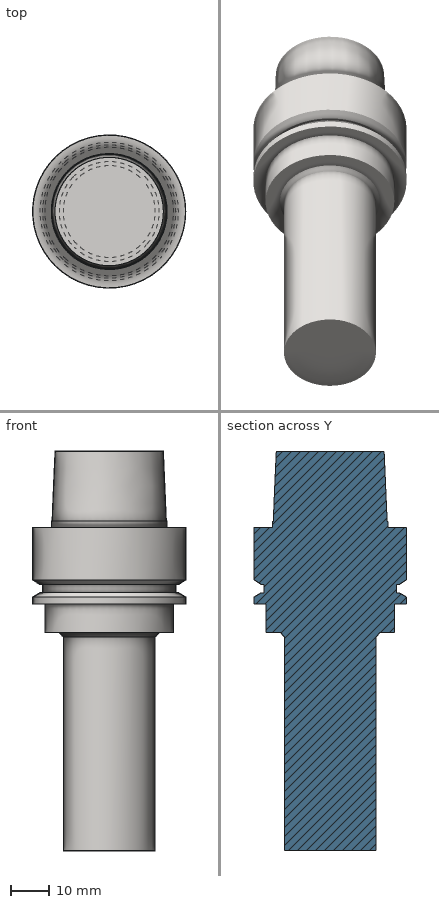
import cadquery as cq

total_length = 104.5
shank_diameter = 24.0
neck_diameter = 26.1
collar_diameter = 33.6
flange_diameter = 40.0
groove_diameter = 34.8
bevel_inner_diameter = 36.2
ring_diameter = 30.3
taper_base_diameter = 29.9
taper_top_diameter = 28.3

taper_depth = 18.3
flange_top_depth = 20.0
groove_top_depth = 33.6
groove_bevel_top_depth = 34.9
groove_bevel_bottom_depth = 37.0
groove_bottom_depth = 38.1
flange_bottom_depth = 40.0
collar_bottom_depth = 47.4
neck_bottom_depth = 48.6


def level(depth):
    """Z coordinate of a step at the given depth below the top face."""
    return total_length - depth


profile_steps = [
    (shank_diameter, 0),
    (shank_diameter, level(neck_bottom_depth)),
    (neck_diameter, level(collar_bottom_depth)),
    (collar_diameter, level(collar_bottom_depth)),
    (collar_diameter, level(flange_bottom_depth)),
    (flange_diameter, level(flange_bottom_depth)),
    (flange_diameter, level(groove_bottom_depth)),
    (bevel_inner_diameter, level(groove_bevel_bottom_depth)),
    (groove_diameter, level(groove_bevel_bottom_depth)),
    (groove_diameter, level(groove_bevel_top_depth)),
    (bevel_inner_diameter, level(groove_bevel_top_depth)),
    (flange_diameter, level(groove_top_depth)),
    (flange_diameter, level(flange_top_depth)),
    (ring_diameter, level(flange_top_depth)),
    (ring_diameter, level(taper_depth)),
    (taper_base_diameter, level(taper_depth)),
    (taper_top_diameter, total_length),
]

profile = cq.Workplane("XZ").moveTo(0, 0)
for diameter, height in profile_steps:
    profile = profile.lineTo(diameter / 2, height)
result = profile.lineTo(0, total_length).close().revolve(360, (0, 0, 0), (0, 1, 0))